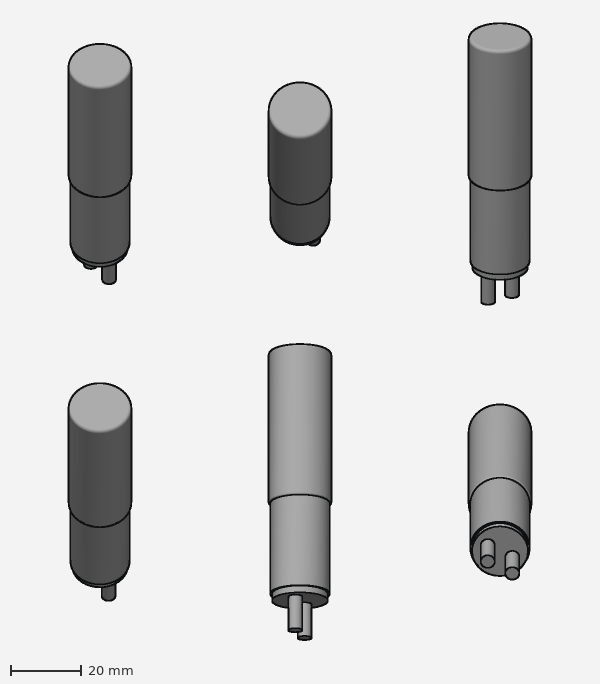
import cadquery as cq

total_height = 84.0
pin_length = 10.0
collar_length = 2.0
body_length = 27.0

head_diameter = 18.0
body_diameter = 17.0
collar_diameter = 16.0
pin_diameter = 4.0

pin_spacing = 8.0
top_edge_radius = 1.0
bottom_edge_radius = 0.5

collar_bottom = pin_length
body_bottom = collar_bottom + collar_length
head_bottom = body_bottom + body_length


def cylinder(diameter, bottom, top):
    """Upright cylinder on the Z axis between two heights."""
    return cq.Workplane("XY").workplane(offset=bottom).circle(diameter / 2).extrude(top - bottom)


head = cylinder(head_diameter, head_bottom, total_height)
head = head.faces(">Z").edges().fillet(top_edge_radius)
head = head.faces("<Z").edges().fillet(bottom_edge_radius)

body = cylinder(body_diameter, body_bottom, head_bottom)
collar = cylinder(collar_diameter, collar_bottom, body_bottom)
result = head.union(body).union(collar)

for side in (-1, 1):
    pin = cylinder(pin_diameter, 0, collar_bottom).translate((side * pin_spacing / 2, 0, 0))
    result = result.union(pin)